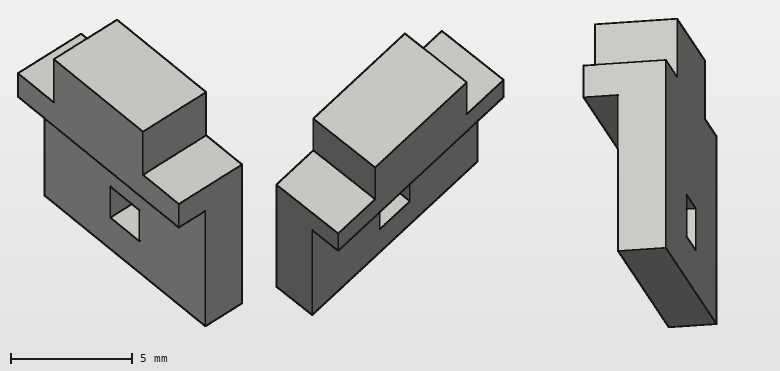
import cadquery as cq

width = 10.0
depth = 3.45
height = 10.65

plate_thickness = 2.0
tab_width = 5.54
tab_height = 2.52
ledge_thickness = 1.37
shoulder_z = height - tab_height
ledge_bottom_z = shoulder_z - ledge_thickness

window_side = 1.81
window_bottom_z = 1.84


def block(size_x, size_y, size_z, bottom_z):
    """Box centred on X, with its back face at Y = depth."""
    box = cq.Workplane("XY").box(size_x, size_y, size_z, centered=(True, False, False))
    return box.translate((0, depth - size_y, bottom_z))


plate = block(width, plate_thickness, shoulder_z, 0)
ledge = block(width, depth, ledge_thickness, ledge_bottom_z)
tab = block(tab_width, depth, tab_height, shoulder_z)
window = block(window_side, depth, window_side, window_bottom_z)

result = plate.union(ledge).union(tab).cut(window)